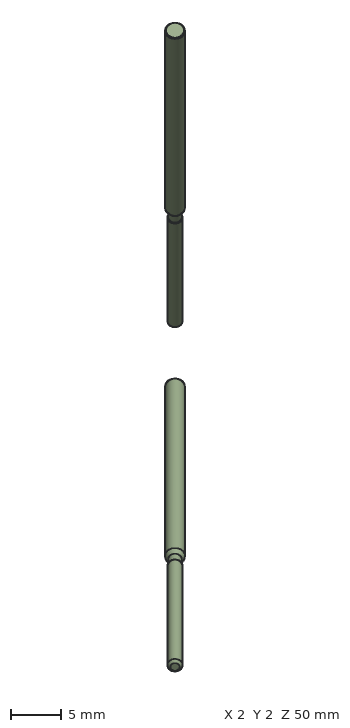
import cadquery as cq

overall_length = 50.0
cutting_length = 18.1
neck_length = 1.05
shoulder_height = 0.55

shank_diameter = 2.0
neck_diameter = 1.36
cutting_diameter = 1.52

end_chamfer = 0.1
lead_chamfer = 0.3
back_chamfer = (cutting_diameter - neck_diameter) / 2

shoulder_bottom = cutting_length + neck_length
shank_bottom = shoulder_bottom + shoulder_height


def make_holder():
    """Neck, conical shoulder and shank in one piece, chamfered at the upper end."""
    shank_radius = shank_diameter / 2
    neck_radius = neck_diameter / 2
    profile = (
        cq.Workplane("XZ")
        .moveTo(0, cutting_length)
        .lineTo(neck_radius, cutting_length)
        .lineTo(neck_radius, shoulder_bottom)
        .lineTo(shank_radius, shank_bottom)
        .lineTo(shank_radius, overall_length)
        .lineTo(0, overall_length)
        .close()
    )
    body = profile.revolve(360, (0, 0), (0, 1))
    return body.faces(">Z").chamfer(end_chamfer)


def make_cutting_part():
    """Plain cylinder with a lead chamfer at the tip and a small chamfer at the neck."""
    body = cq.Workplane("XY").circle(cutting_diameter / 2).extrude(cutting_length)
    body = body.faces("<Z").chamfer(lead_chamfer)
    return body.faces(">Z").chamfer(back_chamfer)


holder = make_holder()
cutting_part = make_cutting_part()

result = cq.Compound.makeCompound([holder.val(), cutting_part.val()])